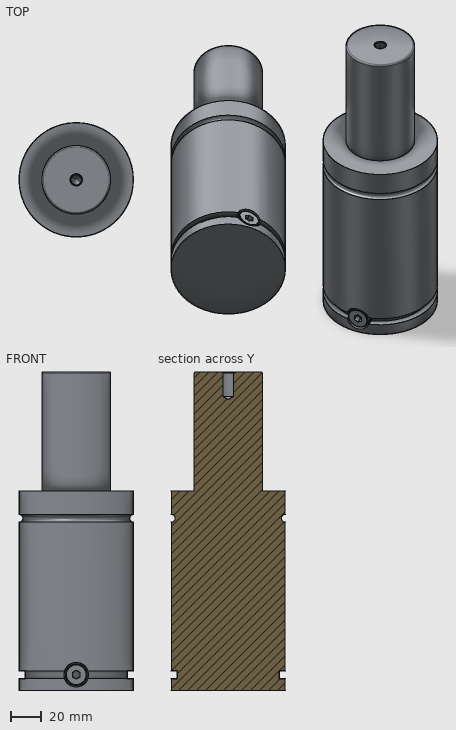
import cadquery as cq
import math

body_diameter = 75.0
rod_diameter = 45.0
total_height = 209.0
body_height = 131.0
rod_fillet = 1.0

collar_height = 15.5
round_groove_width = 5.0

base_height = 8.0
square_groove_width = 5.0
square_groove_depth = 4.0

rod_hole_diameter = 6.8
rod_hole_mouth_diameter = 8.0
rod_hole_depth = 16.0
drill_point_angle = 118.0

pocket_diameter = 16.0
plug_diameter = 14.0
plug_face_inset = 0.5
pocket_depth = 8.0
plug_chamfer = 0.5
plug_socket_across_flats = 5.0
plug_socket_depth = 5.0

body_radius = body_diameter / 2
rod_radius = rod_diameter / 2
groove_floor_radius = body_radius - square_groove_depth
square_groove_top = base_height + square_groove_width
plug_height = base_height + square_groove_width / 2
collar_bottom = body_height - collar_height
round_groove_radius = round_groove_width / 2
round_groove_bottom = collar_bottom - round_groove_width
plug_face_radius = body_radius - plug_face_inset
pocket_floor_radius = body_radius - pocket_depth
socket_diameter = plug_socket_across_flats / math.cos(math.pi / 6)


def make_cylinder():
    """Body with both grooves and the rod, as one revolved half profile."""
    return (
        cq.Workplane("XZ")
        .lineTo(body_radius, 0)
        .lineTo(body_radius, base_height)
        .lineTo(groove_floor_radius, base_height)
        .lineTo(groove_floor_radius, square_groove_top)
        .lineTo(body_radius, square_groove_top)
        .lineTo(body_radius, round_groove_bottom)
        .threePointArc(
            (body_radius - round_groove_radius, round_groove_bottom + round_groove_radius),
            (body_radius, collar_bottom),
        )
        .lineTo(body_radius, body_height)
        .lineTo(rod_radius, body_height)
        .lineTo(rod_radius, total_height - rod_fillet)
        .radiusArc((rod_radius - rod_fillet, total_height), -rod_fillet)
        .lineTo(0, total_height)
        .close()
        .revolve(360, (0, 0), (0, 1))
    )


def make_rod_hole():
    """Blind drilled hole with a countersunk mouth and a conical bottom."""
    hole_radius = rod_hole_diameter / 2
    mouth_radius = rod_hole_mouth_diameter / 2
    countersink_depth = mouth_radius - hole_radius
    hole_bottom = total_height - rod_hole_depth
    point_length = hole_radius / math.tan(math.radians(drill_point_angle / 2))
    return (
        cq.Workplane("XZ")
        .moveTo(0, total_height)
        .lineTo(mouth_radius, total_height)
        .lineTo(hole_radius, total_height - countersink_depth)
        .lineTo(hole_radius, hole_bottom)
        .lineTo(0, hole_bottom - point_length)
        .close()
        .revolve(360, (0, 0), (0, 1))
    )


def plane_at_plug(radius):
    """Sketch plane facing -Y, centred on the plug axis at the given distance from the part axis."""
    return cq.Workplane("XZ", origin=(0, -radius, plug_height))


def add_plug(body):
    """Leave a chamfered round plug with a hexagonal socket standing in a round side pocket."""
    pocket = plane_at_plug(pocket_floor_radius).circle(pocket_diameter / 2).extrude(pocket_depth)
    plug = (
        plane_at_plug(pocket_floor_radius)
        .circle(plug_diameter / 2)
        .extrude(plug_face_radius - pocket_floor_radius)
        .faces("<Y")
        .chamfer(plug_chamfer)
    )
    socket = (
        plane_at_plug(plug_face_radius)
        .transformed(rotate=(0, 0, 90))
        .polygon(6, socket_diameter)
        .extrude(-plug_socket_depth)
    )
    return body.cut(pocket).union(plug).cut(socket)


result = add_plug(make_cylinder().cut(make_rod_hole()))